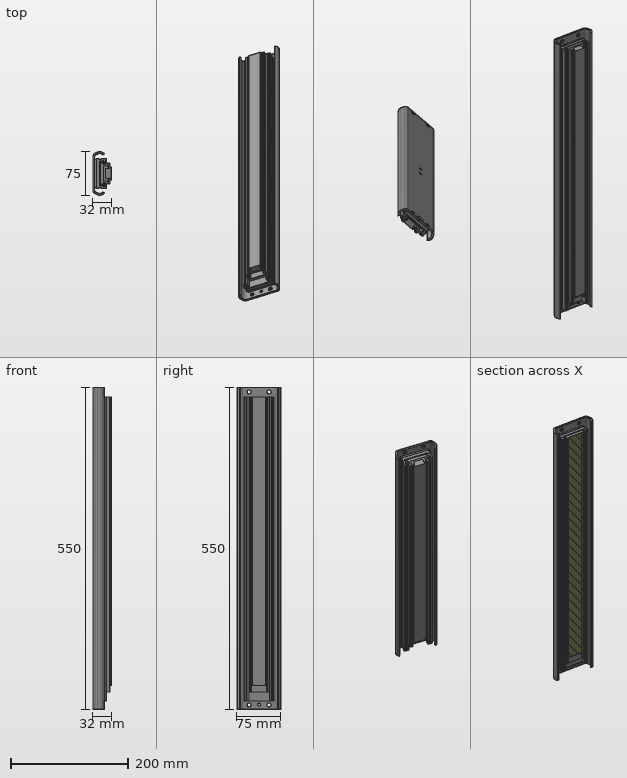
import cadquery as cq
import math

COVER_LENGTH = 550.0
TOTAL_DEPTH = 32.0

COVER_WALL = 3.5
COVER_HALF_WIDTH = 37.5
COVER_FLAT_HALF_WIDTH = 28.5
CORNER_RADIUS = 6.5
CURL_RADIUS = 9.5
CURL_CENTRE_X = 12.0
CURL_END_ANGLE = 56.0

END_HOLE_DIAMETER = 6.5
END_HOLE_HALF_SPACING = 17.0
END_HOLE_INSET = 7.5
MIDDLE_HOLE_DIAMETER = 5.5
MIDDLE_HOLE_HEIGHTS = (250.0, 275.0)
SUNK_HOLE_DIAMETER = 4.5
SUNK_HOLE_HEAD_DIAMETER = 11.5
SUNK_HOLE_HEAD_DEPTH = 3.0
SUNK_HOLE_HEIGHT = 8.0

SLIDE_TOP_GAP = 16.0
OUTER_BOTTOM = 15.0
MIDDLE_BOTTOM = 29.5
INNER_BOTTOM = 41.0
SLIDE_TOP = COVER_LENGTH - SLIDE_TOP_GAP

PLATE_THICKNESS = 3.5
PLATE_HALF_WIDTH = 25.0

RAIL_WALL = 5.0
GROOVE_DEPTH = 1.5
GROOVE_WIDTH = 4.0
TIP_CHAMFER = 1.0

OUTER_BACK_X = COVER_WALL + PLATE_THICKNESS
OUTER_TIP_X = 23.5
OUTER_HALF_WIDTH = 26.0
OUTER_OUTSIDE_GROOVE_X = 10.5
OUTER_INSIDE_GROOVE_X = 18.0

OUTER_CAGE_WEB = 1.5
OUTER_CAGE_CLEARANCE = 0.5
MIDDLE_BACK_X = OUTER_BACK_X + RAIL_WALL + OUTER_CAGE_WEB
MIDDLE_TIP_X = 29.5
MIDDLE_HALF_WIDTH = 17.5
MIDDLE_OUTSIDE_GROOVE_X = 17.5
MIDDLE_INSIDE_GROOVE_X = 25.0

INNER_CAGE_WEB = 3.5
INNER_BACK_X = MIDDLE_BACK_X + RAIL_WALL + INNER_CAGE_WEB
INNER_NECK_HALF_WIDTH = 8.0
INNER_HEAD_HALF_WIDTH = 11.0
INNER_HEAD_THICKNESS = 1.5
INNER_HEAD_X = TOTAL_DEPTH - INNER_HEAD_THICKNESS
INNER_NECK_END_X = INNER_HEAD_X - (INNER_HEAD_HALF_WIDTH - INNER_NECK_HALF_WIDTH)


def mirror_points(upper):
    """Close an outline that is symmetric about Y = 0 from its points with Y > 0."""
    return upper + [(x, -y) for x, y in reversed(upper)]


def extrude_outline(upper, bottom, top):
    """Straight bar between two heights with a symmetric outline."""
    outline = cq.Workplane("XY", origin=(0, 0, bottom)).polyline(mirror_points(upper)).close()
    return outline.extrude(top - bottom)


def polar(centre, radius, angle):
    """Point on a circle; the angle turns from +Y toward +X."""
    return (centre[0] + radius * math.sin(angle), centre[1] + radius * math.cos(angle))


def cover_arm(side):
    """One curled edge of the cover, on the +Y (side = 1) or -Y (side = -1) edge."""
    corner = (CORNER_RADIUS, COVER_FLAT_HALF_WIDTH)
    curl = (CURL_CENTRE_X, COVER_HALF_WIDTH - CURL_RADIUS)
    dx = curl[0] - corner[0]
    dy = curl[1] - corner[1]
    tangent_angle = math.atan2(dy, dx) + math.asin((CURL_RADIUS - CORNER_RADIUS) / math.hypot(dx, dy))
    bend = -tangent_angle
    end = math.radians(CURL_END_ANGLE)

    def place(centre, radius, angle):
        x, y = polar(centre, radius, angle)
        return (x, side * y)

    inner_corner = CORNER_RADIUS - COVER_WALL
    inner_curl = CURL_RADIUS - COVER_WALL
    back = -math.pi / 2
    corner_mid = (back + bend) / 2
    curl_mid = (bend + end) / 2
    return (
        cq.Workplane("XY")
        .moveTo(*place(corner, CORNER_RADIUS, back))
        .threePointArc(place(corner, CORNER_RADIUS, corner_mid), place(corner, CORNER_RADIUS, bend))
        .lineTo(*place(curl, CURL_RADIUS, bend))
        .threePointArc(place(curl, CURL_RADIUS, curl_mid), place(curl, CURL_RADIUS, end))
        .lineTo(*place(curl, inner_curl, end))
        .threePointArc(place(curl, inner_curl, curl_mid), place(curl, inner_curl, bend))
        .lineTo(*place(corner, inner_corner, bend))
        .threePointArc(place(corner, inner_corner, corner_mid), place(corner, inner_corner, back))
        .close()
        .extrude(COVER_LENGTH)
    )


def cover_hole(y, z, diameter):
    return cq.Workplane("YZ").center(y, z).circle(diameter / 2).extrude(COVER_WALL)


def make_cover():
    web = cq.Workplane("XY").box(
        COVER_WALL, 2 * COVER_FLAT_HALF_WIDTH, COVER_LENGTH, centered=(False, True, False)
    )
    cover = web.union(cover_arm(1)).union(cover_arm(-1))
    for z in (END_HOLE_INSET, COVER_LENGTH - END_HOLE_INSET):
        for y in (-END_HOLE_HALF_SPACING, END_HOLE_HALF_SPACING):
            cover = cover.cut(cover_hole(y, z, END_HOLE_DIAMETER))
    for z in MIDDLE_HOLE_HEIGHTS:
        cover = cover.cut(cover_hole(0, z, MIDDLE_HOLE_DIAMETER))
    cover = cover.cut(cover_hole(0, SUNK_HOLE_HEIGHT, SUNK_HOLE_DIAMETER))
    sunk_head = cq.Solid.makeCone(
        SUNK_HOLE_HEAD_DIAMETER / 2,
        SUNK_HOLE_DIAMETER / 2,
        SUNK_HOLE_HEAD_DEPTH,
        pnt=cq.Vector(0, 0, SUNK_HOLE_HEIGHT),
        dir=cq.Vector(1, 0, 0),
    )
    return cover.cut(cq.Workplane(sunk_head))


def make_plate():
    """Flat spacer between the cover and the outer rail."""
    upper = [(COVER_WALL, PLATE_HALF_WIDTH), (OUTER_BACK_X, PLATE_HALF_WIDTH)]
    return extrude_outline(upper, OUTER_BOTTOM, SLIDE_TOP)


def make_channel_rail(back_x, tip_x, half_width, outside_groove_x, inside_groove_x, bottom):
    """Channel open toward +X, with a groove along the outside and inside of each flange."""
    inside = half_width - RAIL_WALL
    upper = [
        (back_x, half_width),
        (outside_groove_x, half_width),
        (outside_groove_x, half_width - GROOVE_DEPTH),
        (outside_groove_x + GROOVE_WIDTH, half_width - GROOVE_DEPTH),
        (outside_groove_x + GROOVE_WIDTH, half_width),
        (tip_x - TIP_CHAMFER, half_width),
        (tip_x, half_width - TIP_CHAMFER),
        (tip_x, inside),
        (inside_groove_x + GROOVE_WIDTH, inside),
        (inside_groove_x + GROOVE_WIDTH, inside + GROOVE_DEPTH),
        (inside_groove_x, inside + GROOVE_DEPTH),
        (inside_groove_x, inside),
        (back_x + RAIL_WALL, inside),
    ]
    return extrude_outline(upper, bottom, SLIDE_TOP)


def make_cage(back_x, web, tip_x, half_width, inside, bottom):
    """Thin channel that sits in the gap between two nested rails."""
    upper = [
        (back_x, half_width),
        (tip_x, half_width),
        (tip_x, inside),
        (back_x + web, inside),
    ]
    return extrude_outline(upper, bottom, SLIDE_TOP)


def make_inner_rail():
    """Solid bar with a wider head that flares out past the inner cage."""
    upper = [
        (INNER_BACK_X, INNER_NECK_HALF_WIDTH),
        (INNER_NECK_END_X, INNER_NECK_HALF_WIDTH),
        (INNER_HEAD_X, INNER_HEAD_HALF_WIDTH),
        (TOTAL_DEPTH, INNER_HEAD_HALF_WIDTH),
    ]
    return extrude_outline(upper, INNER_BOTTOM, SLIDE_TOP)


cover = make_cover()
plate = make_plate()
outer_rail = make_channel_rail(
    OUTER_BACK_X,
    OUTER_TIP_X,
    OUTER_HALF_WIDTH,
    OUTER_OUTSIDE_GROOVE_X,
    OUTER_INSIDE_GROOVE_X,
    OUTER_BOTTOM,
)
outer_cage = make_cage(
    OUTER_BACK_X + RAIL_WALL,
    OUTER_CAGE_WEB,
    OUTER_TIP_X,
    OUTER_HALF_WIDTH - RAIL_WALL - OUTER_CAGE_CLEARANCE,
    MIDDLE_HALF_WIDTH,
    OUTER_BOTTOM,
)
middle_rail = make_channel_rail(
    MIDDLE_BACK_X,
    MIDDLE_TIP_X,
    MIDDLE_HALF_WIDTH,
    MIDDLE_OUTSIDE_GROOVE_X,
    MIDDLE_INSIDE_GROOVE_X,
    MIDDLE_BOTTOM,
)
inner_cage = make_cage(
    MIDDLE_BACK_X + RAIL_WALL,
    INNER_CAGE_WEB,
    INNER_NECK_END_X,
    MIDDLE_HALF_WIDTH - RAIL_WALL,
    INNER_NECK_HALF_WIDTH,
    INNER_BOTTOM,
)
inner_rail = make_inner_rail()

result = cq.Compound.makeCompound(
    [
        cover.val(),
        plate.val(),
        outer_rail.val(),
        outer_cage.val(),
        middle_rail.val(),
        inner_cage.val(),
        inner_rail.val(),
    ]
)